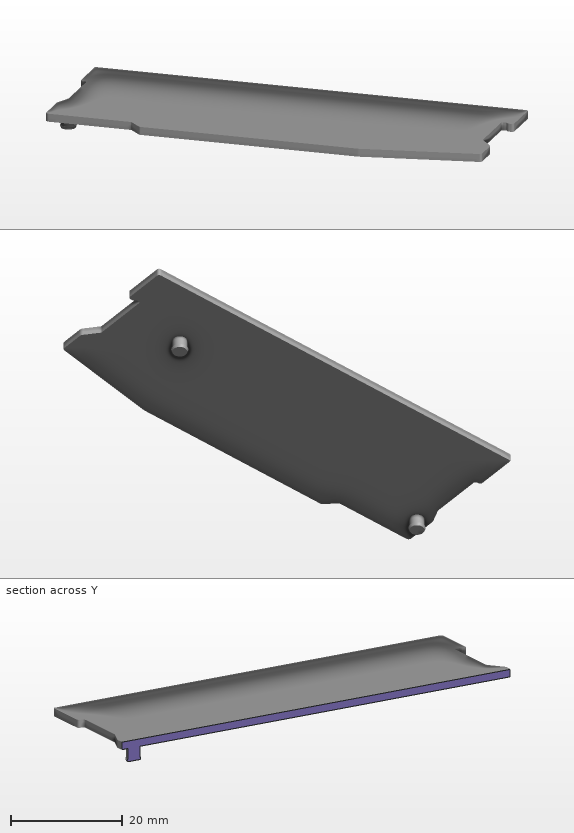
import cadquery as cq
import math

length = 82.1
width = 31.05
thickness = 1.5

left_recess_depth = 1.25
left_recess_top = width - 8.55
left_recess_bottom = width - 19.1
left_flare_angle = 67

right_recess_depth = 2.4
right_recess_top = width - 8.15
right_recess_bottom = width - 19.15
right_flare_angle = 50
lip_width = 1.05
lip_drop = 0.45

step_height = 2.25
step_start = 16.3
ramp_start = 60.0
ramp_angle = 10

corner_radius = 0.5
top_left_radius = 0.2
lip_radius = 0.3
step_top_radius = 0.3
lower_left_radius = 0.65
ramp_radius = 2.0
flare_radius = 1.0

pin_height = 2.5
shaft_radius = 1.35
rim_radius = 1.55
tip_radius = 1.35
rim_height = 0.5
pin_centers = [(2.6, width - 23.4), (67.3, width - 12.0)]


def rise(run, angle):
    """Height gained over a horizontal run at an angle in degrees."""
    return run * math.tan(math.radians(angle))


def make_plate():
    left_wall = left_recess_depth
    right_wall = length - right_recess_depth
    left_flare_end = left_recess_bottom - rise(left_recess_depth, left_flare_angle)
    right_flare_end = right_recess_bottom - rise(right_recess_depth, right_flare_angle)
    ramp_end = rise(length - ramp_start, ramp_angle)
    lip_inner = length - lip_width
    lip_bottom = right_recess_top - lip_drop

    corners = [
        ((0, width), top_left_radius),
        ((length, width), corner_radius),
        ((length, lip_bottom), corner_radius),
        ((lip_inner, lip_bottom), lip_radius),
        ((lip_inner - lip_drop, right_recess_top), lip_radius),
        ((right_wall, right_recess_top), lip_radius),
        ((right_wall, right_recess_bottom), corner_radius),
        ((length, right_flare_end), flare_radius),
        ((length, ramp_end), corner_radius),
        ((ramp_start, 0), ramp_radius),
        ((step_start + step_height, 0), corner_radius),
        ((step_start, step_height), step_top_radius),
        ((0, step_height), lower_left_radius),
        ((0, left_flare_end), flare_radius),
        ((left_wall, left_recess_bottom), flare_radius),
        ((left_wall, left_recess_top), corner_radius),
        ((0, left_recess_top), corner_radius),
    ]
    outline = [point for point, _ in corners]
    plate = cq.Workplane("XY").polyline(outline).close().extrude(thickness)
    for (x, y), radius in corners:
        corner_edge = cq.selectors.NearestToPointSelector((x, y, thickness / 2))
        plate = plate.edges("|Z").edges(corner_edge).fillet(radius)
    return plate


def make_pin(center):
    """Round pin with a tapered snap rim at its tip, turned about its axis and overlapping the plate."""
    profile = [
        (0, thickness / 2),
        (shaft_radius, thickness / 2),
        (shaft_radius, rim_height - pin_height),
        (rim_radius, rim_height - pin_height),
        (tip_radius, -pin_height),
        (0, -pin_height),
    ]
    pin = cq.Workplane("XZ").polyline(profile).close().revolve(360, (0, 0), (0, 1))
    return pin.translate((center[0], center[1], 0))


result = make_plate()
for pin_center in pin_centers:
    result = result.union(make_pin(pin_center))